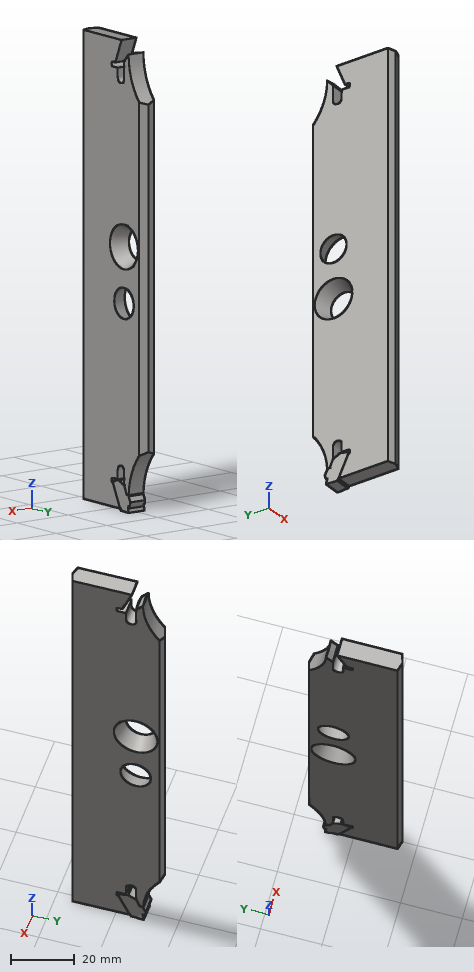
import cadquery as cq
import math

thickness = 5.9
width = 30.4
edge_ridge = 0.9
top_z = 75.3
blade_bottom_z = -74.7
mid_z = (top_z + blade_bottom_z) / 2
half_width = width / 2
half_thickness = thickness / 2

finger_tip_y = 8.9
finger_tip_height = 71.0
relief_radius = 21.8
relief_center_y = finger_tip_y + relief_radius

slot_left_y = 6.6
slot_right_y = 3.3
slot_radius = (slot_left_y - slot_right_y) / 2
slot_center_y = (slot_left_y + slot_right_y) / 2
slot_end_height = 61.1
seat_outer_y = 5.3
seat_inner_y = 2.1
notch_end_y = 0.2
notch_top_height = 67.3
notch_bottom_height = 65.8
notch_radius = (notch_top_height - notch_bottom_height) / 2
finger_root_height = 68.5
pocket_clearance = 1.5

finger_ridge = 0.3

hole_small_diameter = 10.0
hole_large_diameter = 14.3
hole_y = 6.5
hole_spacing = 18.0

insert_bottom_z = -75.3
cutting_corner = (9.2, insert_bottom_z)
insert_outline = [
    cutting_corner,
    (5.0, insert_bottom_z),
    (4.4, -74.4),
    (0.6, -66.5),
    (2.1, -66.1),
    (4.0, -65.7),
    (5.1, -66.3),
    (6.6, -66.9),
    (7.8, -69.6),
    (8.7, -69.7),
    (9.8, -71.8),
    (9.6, -72.6),
    (8.9, -74.0),
]

cutting_width = 6.3
flare_height = (cutting_width - thickness) / 2
flare_base = [cutting_corner, (6.6, insert_bottom_z), (7.2, -74.5), (8.7, -73.2), (8.9, -74.0)]
flare_tip_scale = 0.5


def prism(outline):
    """Extrude a closed (Y, Z) outline over the full blade thickness."""
    return cq.Workplane("YZ", origin=(-half_thickness, 0, 0)).polyline(outline).close().extrude(thickness)


def bar():
    shoulder = half_width - edge_ridge
    section = [
        (-half_thickness, -shoulder),
        (0, -half_width),
        (half_thickness, -shoulder),
        (half_thickness, shoulder),
        (0, half_width),
        (-half_thickness, shoulder),
    ]
    base = cq.Workplane("XY", origin=(0, 0, blade_bottom_z))
    return base.polyline(section).close().extrude(top_z - blade_bottom_z)


def relief_cut():
    """Material outside the concave edge of the upper end."""
    center_height = finger_tip_height
    drop = math.sqrt(relief_radius**2 - (relief_center_y - half_width) ** 2)
    mid_angle = math.asin(drop / relief_radius) / 2
    arc_mid = (
        relief_center_y - relief_radius * math.cos(mid_angle),
        mid_z + center_height - relief_radius * math.sin(mid_angle),
    )
    outer_y = half_width + pocket_clearance
    outer_z = top_z + pocket_clearance
    return (
        cq.Workplane("YZ", origin=(-half_thickness, 0, 0))
        .moveTo(finger_tip_y, mid_z + center_height)
        .threePointArc(arc_mid, (half_width, mid_z + center_height - drop))
        .lineTo(outer_y, mid_z + center_height - drop)
        .lineTo(outer_y, outer_z)
        .lineTo(finger_tip_y, outer_z)
        .close()
        .extrude(thickness)
    )


def pocket_cut():
    """Opening for the insert at the upper end, with its slot and notch."""
    slot_straight_end = mid_z + slot_end_height + slot_radius
    notch_straight_end = notch_end_y + notch_radius
    outer_z = top_z + pocket_clearance
    opening = (
        cq.Workplane("YZ", origin=(-half_thickness, 0, 0))
        .moveTo(finger_tip_y, outer_z)
        .lineTo(finger_tip_y, mid_z + finger_tip_height)
        .lineTo(slot_left_y, mid_z + finger_root_height)
        .lineTo(slot_left_y, slot_straight_end)
        .threePointArc((slot_center_y, mid_z + slot_end_height), (slot_right_y, slot_straight_end))
        .lineTo(slot_right_y, mid_z + notch_bottom_height)
        .lineTo(notch_straight_end, mid_z + notch_bottom_height)
        .threePointArc(
            (notch_end_y, mid_z + notch_bottom_height + notch_radius),
            (notch_straight_end, mid_z + notch_top_height),
        )
        .lineTo(seat_inner_y, mid_z + notch_top_height)
        .lineTo(seat_outer_y, top_z)
        .lineTo(seat_outer_y, outer_z)
        .close()
        .extrude(thickness)
    )
    return opening.cut(finger_face_ridge())


def finger_face_ridge():
    """V ridge running along the sloping face of the clamping finger."""
    run_y = slot_left_y - finger_tip_y
    run_z = finger_root_height - finger_tip_height
    length = math.hypot(run_y, run_z)
    face = cq.Plane(
        origin=(0, finger_tip_y, mid_z + finger_tip_height),
        xDir=(1, 0, 0),
        normal=(0, run_y / length, run_z / length),
    )
    section = [(-half_thickness, 0), (half_thickness, 0), (0, finger_ridge)]
    return cq.Workplane(face).polyline(section).close().extrude(length)


def tapered_hole(z, wide_side):
    """Cone through the blade; wide_side is +1 or -1 for the X side with the large mouth."""
    cone = cq.Solid.makeCone(
        hole_large_diameter / 2,
        hole_small_diameter / 2,
        thickness,
        pnt=cq.Vector(wide_side * half_thickness, hole_y, z),
        dir=cq.Vector(-wide_side, 0, 0),
    )
    return cq.Workplane(cone)


def corner_flare():
    """Tapered widening on the +X side of the cutting corner."""
    corner_y, corner_z = cutting_corner
    tip = [
        (corner_y + flare_tip_scale * (y - corner_y), corner_z + flare_tip_scale * (z - corner_z))
        for y, z in flare_base
    ]
    return (
        cq.Workplane("YZ", origin=(half_thickness, 0, 0))
        .polyline(flare_base)
        .close()
        .workplane(offset=flare_height)
        .polyline(tip)
        .close()
        .loft(ruled=True)
    )


def make_insert():
    flare = corner_flare()
    return prism(insert_outline).union(flare).union(flare.mirror("YZ"))


def make_blade(insert):
    blade = bar()
    for cut in (relief_cut(), pocket_cut()):
        blade = blade.cut(cut).cut(cut.mirror("XY", (0, 0, mid_z)))
    for side in (1, -1):
        blade = blade.cut(tapered_hole(mid_z + side * hole_spacing / 2, side))
    return blade.cut(insert)


insert = make_insert()
blade = make_blade(insert)

result = cq.Compound.makeCompound([blade.val(), insert.val()])